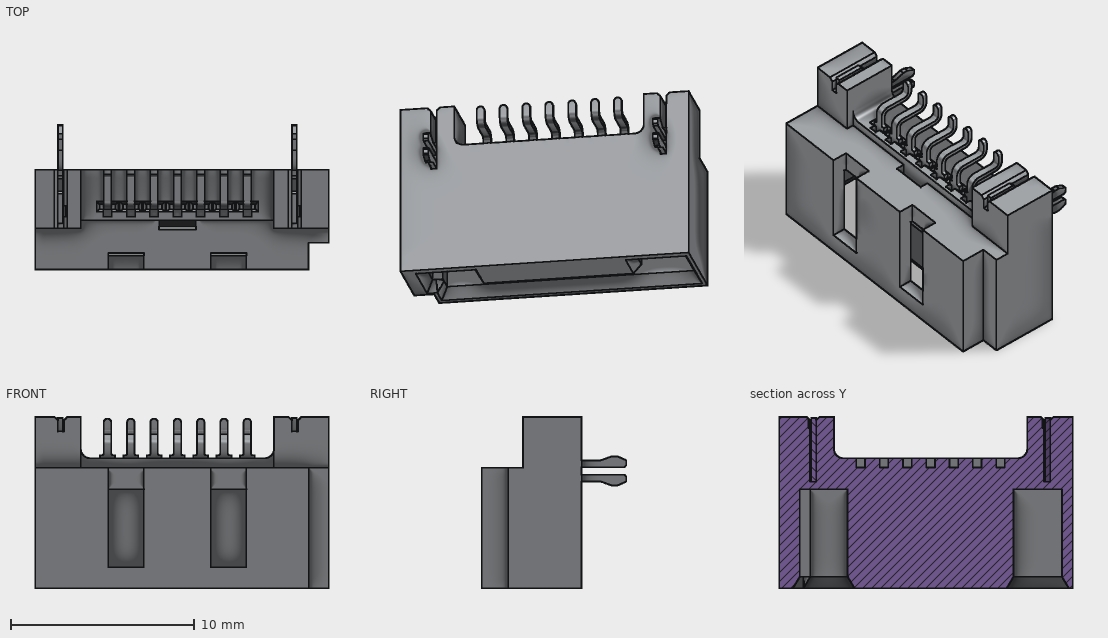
import cadquery as cq
import math


contact_count = 7
pitch = 1.27
contact_thickness = 0.25
contact_width = 0.42
inner_bend_radius = 0.25
outer_bend_radius = inner_bend_radius + contact_thickness
contact_tip_z = 9.25
foot_top_z = 8.4
leg_front_y = -2.15
leg_rear_y = leg_front_y + contact_thickness
leg_center_y = (leg_front_y + leg_rear_y) / 2
shank_width = 0.82
shank_top_z = 7.26
shank_bottom_z = 2.0
shank_fillet = 0.08

left_x = -7.75
right_x = 8.25
depth = 5.45
height = 9.35
front_y = -depth
shelf_z = 6.58
floor_z = 7.1
floor_front_y = -2.77
ear_depth = 3.2
ear_inner_x = 5.26
ear_fillet = 0.5
corner_step_x = 1.1
corner_step_y = 1.45

ceiling_z = 5.39
front_wall = 0.78
rear_wall = 0.91
left_wall = 0.6
cavity_right_x = 7.12
cavity_corner_x = right_x - corner_step_x - left_wall
cavity_corner_y = front_y + corner_step_y + left_wall
tongue_half_width = 4.53
tongue_front_y = -3.13
lead_in_depth = 0.38
lead_in_height = 0.64
lead_in_angle = math.degrees(math.atan(lead_in_depth / lead_in_height))

window_width = 1.93
window_spacing = 5.59
window_bottom_z = 1.14
window_recess = 0.9
tongue_slot_width = 2.0
tongue_slot_front_y = -3.26
ramp_bottom_z = 3.2
ramp_rise = floor_front_y - tongue_front_y

pocket_width = 1.19
pocket_chamfer = 0.16
pocket_length = contact_thickness + 2 * pocket_chamfer
relief_width = 0.46
relief_front_y = -2.57
relief_depth = 0.5

hold_down_x = 6.375
hold_down_thickness = 0.27
hold_down_front_y = -2.92
hold_down_top_z = 9.29
plate_rear_y = -1.19
plate_chamfer = 0.14
shoulder_y = -0.5
shoulder_z = 7.5
shoulder_steps = 3
shoulder_step_y = 0.15
tail_length = 2.45
tail_center_z = 6.4
tail_half_gap = 0.2
tail_half_height = 0.58
tail_half_bulge = 0.8
bulge_start_y = 1.04
bulge_flat_y = 1.65
bulge_flat_length = 0.3
tail_tip_half_height = 0.55
tail_tip_round = 0.12
hold_down_bottom_z = tail_center_z - tail_half_height
slot_width = 0.32
slot_floor_z = 8.55
slot_chamfer = 0.19
slot_left_x = -hold_down_thickness / 2
slot_center_x = slot_left_x + slot_width / 2
slot_pocket_width = 0.1
slot_pocket_length = 0.61
slot_pocket_center_y = -2.27
slot_pocket_floor_z = 8.75


def block(x0, x1, y0, y1, z0, z1):
    """Rectangular block between two opposite corners."""
    return cq.Workplane("XY").box(x1 - x0, y1 - y0, z1 - z0, centered=False).translate((x0, y0, z0))


def yz_prism(outline, x0, width):
    """Prism from a closed YZ outline, running in +X from x0."""
    return outline.close().extrude(width).translate((x0, 0, 0))


def yz_start(y, z):
    return cq.Workplane("YZ").moveTo(y, z)


def make_contact():
    diagonal = math.sqrt(0.5)
    bend_z = foot_top_z - outer_bend_radius
    tip_bend_z = foot_top_z + inner_bend_radius
    leg_bend_y = leg_front_y + outer_bend_radius
    foot_bottom_z = foot_top_z - contact_thickness
    outer_mid = outer_bend_radius * diagonal
    inner_mid = inner_bend_radius * diagonal
    outline = (
        yz_start(leg_front_y, shank_bottom_z)
        .lineTo(leg_front_y, bend_z)
        .threePointArc((leg_bend_y - outer_mid, bend_z + outer_mid), (leg_bend_y, foot_top_z))
        .lineTo(-outer_bend_radius, foot_top_z)
        .threePointArc(
            (-outer_bend_radius + inner_mid, tip_bend_z - inner_mid), (-contact_thickness, tip_bend_z)
        )
        .lineTo(-contact_thickness, contact_tip_z)
        .lineTo(0, contact_tip_z)
        .lineTo(0, tip_bend_z)
        .threePointArc(
            (-outer_bend_radius + outer_mid, tip_bend_z - outer_mid), (-outer_bend_radius, foot_bottom_z)
        )
        .lineTo(leg_bend_y, foot_bottom_z)
        .threePointArc((leg_bend_y - inner_mid, bend_z + inner_mid), (leg_rear_y, bend_z))
        .lineTo(leg_rear_y, shank_bottom_z)
    )
    strip = yz_prism(outline, -contact_width / 2, contact_width)
    contact = strip.intersect(contact_front_outline()).union(contact_shank())
    reach = contact_width / 2 + shank_fillet
    shoulder_corners = cq.selectors.BoxSelector(
        (-reach, leg_front_y, shank_top_z - shank_fillet),
        (reach, leg_rear_y, shank_top_z + shank_fillet),
    )
    return contact.edges("|Y").edges(shoulder_corners).fillet(shank_fillet)


def contact_front_outline():
    """Strip width with a full-round tip, running along Y."""
    tip_radius = contact_width / 2
    return (
        cq.Workplane("XZ")
        .moveTo(-tip_radius, shank_bottom_z)
        .lineTo(tip_radius, shank_bottom_z)
        .lineTo(tip_radius, contact_tip_z - tip_radius)
        .threePointArc((0, contact_tip_z), (-tip_radius, contact_tip_z - tip_radius))
        .close()
        .extrude(depth)
    )


def contact_shank():
    half = shank_width / 2
    return block(-half, half, leg_front_y, leg_rear_y, shank_bottom_z, shank_top_z)


def make_prong(side):
    """One half of the split tail: side +1 is the upper prong, -1 the lower."""

    def z(offset):
        return tail_center_z + side * offset

    tip_y = tail_length - tail_tip_round
    outline = (
        yz_start(plate_rear_y, z(tail_half_gap))
        .lineTo(plate_rear_y, z(tail_half_height))
        .lineTo(bulge_start_y, z(tail_half_height))
        .lineTo(bulge_flat_y, z(tail_half_bulge))
        .lineTo(bulge_flat_y + bulge_flat_length, z(tail_half_bulge))
        .lineTo(tail_length - tail_tip_round / 2, z(tail_tip_half_height + tail_tip_round / 2))
        .lineTo(tail_length, z(tail_tip_half_height))
        .lineTo(tail_length, z(tail_half_gap + tail_tip_round))
        .lineTo(tip_y, z(tail_half_gap))
    )
    return yz_prism(outline, slot_left_x, hold_down_thickness)


def make_hold_down():
    tail_top_z = tail_center_z + tail_half_height
    shoulder_rise = shoulder_z - tail_top_z
    outline = yz_start(hold_down_front_y, hold_down_bottom_z)
    outline = outline.lineTo(hold_down_front_y, hold_down_top_z)
    outline = outline.lineTo(plate_rear_y - plate_chamfer, hold_down_top_z)
    outline = outline.lineTo(plate_rear_y, hold_down_top_z - plate_chamfer)
    outline = outline.lineTo(plate_rear_y, shoulder_z)
    for step in range(shoulder_steps + 1):
        facet_z = tail_top_z + shoulder_rise * math.cos(math.pi / 2 * step / shoulder_steps)
        outline = outline.lineTo(shoulder_y + step * shoulder_step_y, facet_z)
    outline = outline.lineTo(shoulder_y + shoulder_steps * shoulder_step_y, hold_down_bottom_z)
    plate = yz_prism(outline, slot_left_x, hold_down_thickness)
    return plate.union(make_prong(1)).union(make_prong(-1))


def make_outer_shell():
    body = block(left_x, right_x, front_y, 0, 0, shelf_z)
    floor = block(-ear_inner_x, ear_inner_x, floor_front_y, 0, shelf_z, floor_z)
    left_ear = block(left_x, -ear_inner_x, -ear_depth, 0, shelf_z, height)
    right_ear = block(ear_inner_x, right_x, -ear_depth, 0, shelf_z, height)
    shell = body.union(floor).union(left_ear).union(right_ear)
    for side in (-1, 1):
        shell = shell.union(make_ear_fillet(side))
    step = block(right_x - corner_step_x, right_x, front_y, front_y + corner_step_y, 0, shelf_z)
    return shell.cut(step)


def make_ear_fillet(side):
    """Concave fillet where the contact floor meets an ear."""
    toe_x = ear_inner_x - ear_fillet
    top_z = floor_z + ear_fillet
    mid = ear_fillet * math.sqrt(0.5)
    return (
        cq.Workplane("XZ")
        .moveTo(side * ear_inner_x, floor_z)
        .lineTo(side * toe_x, floor_z)
        .threePointArc((side * (toe_x + mid), top_z - mid), (side * ear_inner_x, top_z))
        .close()
        .extrude(-floor_front_y)
    )


def make_cavity():
    """Open mating cavity: a stepped pocket with a flared mouth, less the tongue."""
    wall_x = left_x + left_wall
    inner_front_y = front_y + front_wall
    outline = cq.Workplane("XY").polyline([
        (wall_x, inner_front_y),
        (cavity_corner_x, inner_front_y),
        (cavity_corner_x, cavity_corner_y),
        (cavity_right_x, cavity_corner_y),
        (cavity_right_x, -rear_wall),
        (wall_x, -rear_wall),
    ]).close()
    straight = outline.extrude(ceiling_z)
    mouth = (
        straight.faces("<Z").wires().toPending()
        .workplane(origin=(0, 0, 0), invert=True)
        .offset2D(lead_in_depth, "intersection")
        .extrude(lead_in_height, taper=lead_in_angle)
    )
    return straight.union(mouth).cut(make_tongue())


def make_tongue():
    half = tongue_half_width
    tongue = block(-half, half, tongue_front_y, 0, 0, ceiling_z)
    inset = lead_in_depth
    nose = (
        cq.Workplane("XY")
        .rect(2 * (half - inset), 2 * (-tongue_front_y - inset))
        .workplane(offset=lead_in_height)
        .rect(2 * half, -2 * tongue_front_y)
        .loft()
    )
    upper = block(-half, half, tongue_front_y, 0, lead_in_height, ceiling_z)
    return tongue.intersect(nose.union(upper))


def make_window(center_x):
    """Front window: open to the cavity below the ceiling, a blind recess above."""
    x0 = center_x - window_width / 2
    return block(x0, x0 + window_width, front_y, front_y + window_recess, window_bottom_z, shelf_z)


def make_tongue_slot():
    """Slot down through the shelf that runs out on the tongue over a 45 degree ramp."""
    outline = (
        yz_start(tongue_slot_front_y, shelf_z)
        .lineTo(tongue_slot_front_y, ramp_bottom_z)
        .lineTo(tongue_front_y, ramp_bottom_z)
        .lineTo(floor_front_y, ramp_bottom_z + ramp_rise)
        .lineTo(floor_front_y, shelf_z)
    )
    return yz_prism(outline, -tongue_slot_width / 2, tongue_slot_width)


def make_contact_pocket():
    """Chamfered lead-in, passage for the shank and a relief in front of the leg."""
    lead_in = (
        cq.Workplane("XY", origin=(0, leg_center_y, floor_z))
        .rect(pocket_width, pocket_length)
        .workplane(offset=-pocket_chamfer)
        .rect(pocket_width - 2 * pocket_chamfer, pocket_length - 2 * pocket_chamfer)
        .loft()
    )
    half = relief_width / 2
    relief = block(-half, half, relief_front_y, leg_center_y, floor_z - relief_depth, floor_z)
    return lead_in.union(relief).union(contact_shank())


def make_hold_down_slot():
    """Vee-mouthed slot for a hold-down, with a small pocket in its +X side."""
    x0 = slot_left_x
    x1 = slot_left_x + slot_width
    half_mouth = slot_width / 2 + slot_chamfer
    slot = block(x0, x1, -ear_depth, 0, slot_floor_z, height)
    seat = block(x0, x1, hold_down_front_y, 0, hold_down_bottom_z, height)
    vee = (
        cq.Workplane("XZ")
        .moveTo(slot_center_x - half_mouth, height)
        .lineTo(slot_center_x + half_mouth, height)
        .lineTo(slot_center_x, height - half_mouth)
        .close()
        .extrude(ear_depth)
    )
    pocket_y0 = slot_pocket_center_y - slot_pocket_length / 2
    pocket = block(x1, x1 + slot_pocket_width, pocket_y0, pocket_y0 + slot_pocket_length,
                   slot_pocket_floor_z, height)
    return slot.union(seat).union(vee).union(pocket)


def make_housing(contact_xs, hold_down_xs):
    housing = make_outer_shell().cut(make_cavity()).cut(make_tongue_slot())
    for side in (-1, 1):
        housing = housing.cut(make_window(side * window_spacing / 2))
    for x in contact_xs:
        housing = housing.cut(make_contact_pocket().translate((x, 0, 0)))
    for x in hold_down_xs:
        housing = housing.cut(make_hold_down_slot().translate((x, 0, 0)))
    return housing


contact_xs = [(index - (contact_count - 1) / 2) * pitch for index in range(contact_count)]
hold_down_xs = [-hold_down_x, hold_down_x]

housing = make_housing(contact_xs, hold_down_xs)
contacts = [make_contact().translate((x, 0, 0)) for x in contact_xs]
hold_downs = [make_hold_down().translate((x, 0, 0)) for x in hold_down_xs]

bodies = [housing] + contacts + hold_downs
result = cq.Compound.makeCompound([body.val() for body in bodies])